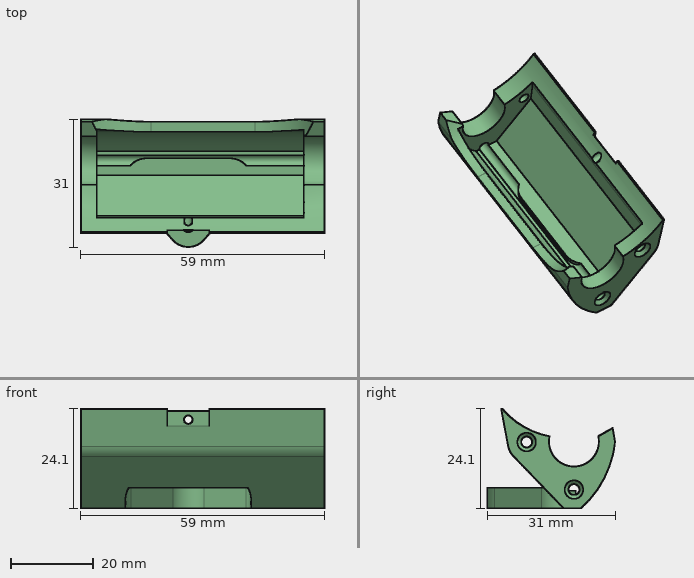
import cadquery as cq
import math

length = 59.0
half_length = length / 2
left_wall = 3.9
right_wall = 5.0
cavity_length = length - left_wall - right_wall
overlap = 2.95

bore_radius = 6.0
bore_z = 16.15
lip_z = 17.45
lip_y = math.sqrt(bore_radius**2 - (lip_z - bore_z) ** 2)
ear_tip = (9.4, 19.45)
back_bottom_y = 1.7
back_middle = (6.65, 6.0)
back_widest = (10.0, 16.15)
front_bottom_y = -2.5
front_knee = (-15.7, 13.7)
knee_radius = 4.7
front_tip = (-17.65, 24.1)
tip_land_y = -17.3
scoop_middle = (-11.6, 19.45)

floor_z = 4.3
floor_front_y = -3.6
floor_back_y = 2.25
cavity_knee = (-13.4, 14.5)
cavity_front_y = -13.85
cavity_lip_z = 19.45
cavity_back_middle = (5.35, 8.55)
cavity_back_crease = (7.15, 14.15)
cavity_back_top = (7.5, 17.7)
cavity_top_z = 24.8

dip_half_length = 12.55
dip_z = 12.7
dip_radius = 18.3
dip_start_y = 4.7
dip_end_y = 11.8

axial_diameter = 2.6
countersink_diameter = 4.5
countersink_depth = (countersink_diameter - axial_diameter) / 2
lower_hole = (0, 4.55)
upper_hole = (-11.45, 16.05)

plate_x = -3.5
plate_height = 5.0
plate_radius = 5.0
plate_apex_y = -16.0
plate_base_y = -4.55
plate_half_spacing = 10.2
plate_hole_diameter = 2.7

flat_width = 10.15
flat_y = -16.9
flat_z = 19.9
cross_hole_diameter = 2.0
cross_hole_z = 21.5


def cradle():
    outline = (
        cq.Workplane("YZ", origin=(-half_length, 0, 0))
        .moveTo(front_bottom_y, 0)
        .lineTo(*front_knee)
        .lineTo(*front_tip)
        .lineTo(tip_land_y, front_tip[1])
        .threePointArc(scoop_middle, (-lip_y, lip_z))
        .threePointArc((0, bore_z - bore_radius), (lip_y, lip_z))
        .lineTo(*ear_tip)
        .lineTo(*back_widest)
        .threePointArc(back_middle, (back_bottom_y, 0))
        .close()
        .extrude(length)
    )
    knee = cq.selectors.NearestToPointSelector((0, *front_knee))
    return outline.edges(knee).fillet(knee_radius)


def axial_hole(center):
    """Cylinder through both end walls, countersunk at each end."""
    hole_radius = axial_diameter / 2
    profile = [
        (-half_length, 0),
        (-half_length, countersink_diameter / 2),
        (-half_length + countersink_depth, hole_radius),
        (half_length - countersink_depth, hole_radius),
        (half_length, countersink_diameter / 2),
        (half_length, 0),
    ]
    cutter = cq.Workplane("XY").polyline(profile).close().revolve(360, (0, 0), (1, 0))
    return cutter.translate((0, *center))


def plate():
    """Tangent outline around the three corner circles, with a hole at the apex."""
    rise = plate_base_y - plate_apex_y
    side_length = math.hypot(plate_half_spacing, rise)
    normal_x = plate_radius * rise / side_length
    normal_y = -plate_radius * plate_half_spacing / side_length
    bisector = (math.atan2(normal_y, normal_x) + math.pi / 2) / 2
    bulge_x = plate_half_spacing + plate_radius * math.cos(bisector)
    bulge_y = plate_base_y + plate_radius * math.sin(bisector)
    back_y = plate_base_y + plate_radius
    side_x = plate_half_spacing + normal_x
    side_y = plate_base_y + normal_y
    apex_side_y = plate_apex_y + normal_y
    body = (
        cq.Workplane("XY")
        .moveTo(-plate_half_spacing, back_y)
        .lineTo(plate_half_spacing, back_y)
        .threePointArc((bulge_x, bulge_y), (side_x, side_y))
        .lineTo(normal_x, apex_side_y)
        .threePointArc((0, plate_apex_y - plate_radius), (-normal_x, apex_side_y))
        .lineTo(-side_x, side_y)
        .threePointArc((-bulge_x, bulge_y), (-plate_half_spacing, back_y))
        .close()
        .extrude(plate_height)
    )
    hole = cq.Workplane("XY").center(0, plate_apex_y).circle(plate_hole_diameter / 2).extrude(plate_height)
    return body.cut(hole).translate((plate_x, 0, 0))


def cavity():
    return (
        cq.Workplane("YZ", origin=(-half_length + left_wall, 0, 0))
        .moveTo(floor_back_y, floor_z)
        .lineTo(floor_front_y, floor_z)
        .lineTo(*cavity_knee)
        .lineTo(cavity_front_y, cavity_lip_z)
        .lineTo(cavity_front_y, cavity_top_z)
        .lineTo(cavity_back_top[0], cavity_top_z)
        .lineTo(*cavity_back_top)
        .lineTo(*cavity_back_crease)
        .threePointArc(cavity_back_middle, (floor_back_y, floor_z))
        .close()
        .extrude(cavity_length)
    )


def back_wall_dip():
    """Flat-bottomed dip whose ends sweep up to the ears on quarter circles."""
    end_x = dip_half_length + dip_radius
    top_z = dip_z + dip_radius
    arc_x = dip_half_length + dip_radius * math.sin(math.pi / 4)
    arc_z = top_z - dip_radius * math.cos(math.pi / 4)
    return (
        cq.Workplane("XZ", origin=(0, dip_end_y, 0))
        .moveTo(-dip_half_length, dip_z)
        .lineTo(dip_half_length, dip_z)
        .threePointArc((arc_x, arc_z), (end_x, top_z))
        .lineTo(-end_x, top_z)
        .threePointArc((-arc_x, arc_z), (-dip_half_length, dip_z))
        .close()
        .extrude(dip_end_y - dip_start_y)
    )


def lip_flat():
    height = front_tip[1] + overlap - flat_z
    block = cq.Workplane("XY").box(flat_width, overlap, height, centered=(True, False, False))
    return block.translate((plate_x, flat_y - overlap, flat_z))


def cross_hole():
    start_y = cavity_front_y + overlap
    return (
        cq.Workplane("XZ", origin=(plate_x, start_y, cross_hole_z))
        .circle(cross_hole_diameter / 2)
        .extrude(start_y - front_tip[0])
    )


result = cradle()
for hole_center in (lower_hole, upper_hole):
    result = result.cut(axial_hole(hole_center))
result = result.union(plate())
for cutter in (cavity(), back_wall_dip(), lip_flat(), cross_hole()):
    result = result.cut(cutter)